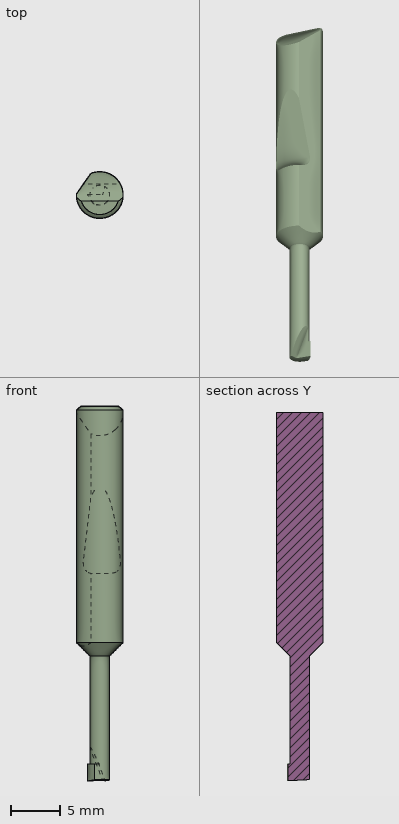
import cadquery as cq
import math

overall_length = 38.1
shank_diameter = 4.76
shank_radius = shank_diameter / 2
neck_radius = 1.0
neck_top_z = 12.7
cone_top_z = neck_top_z + shank_radius - neck_radius
end_chamfer = 0.4

bevel_end_y = -0.62

flat_direction = 145.0
flat_span = 65.0

notch_top_z = overall_length - 8.2
notch_bottom_z = overall_length - 17.0
notch_depth = 1.28
notch_corner_radius = 1.15

head_height = 1.75
cutting_edge_x = -1.26
heel_x = -0.53
flank_radius = 4.5
rake_y = 0.06
end_dish_angle = 3.0
end_relief_angle = 5.0

pocket_top_z = 3.4
pocket_wall_tilt = 21.0
pocket_wall_azimuth = 15.0

clear = 10.0


def make_body():
    """Shank, cone and neck as one revolved profile."""
    return (
        cq.Workplane("XZ")
        .moveTo(0, 0)
        .lineTo(neck_radius, 0)
        .lineTo(neck_radius, neck_top_z)
        .lineTo(shank_radius, cone_top_z)
        .lineTo(shank_radius, overall_length - end_chamfer)
        .lineTo(shank_radius - end_chamfer, overall_length)
        .lineTo(0, overall_length)
        .close()
        .revolve(360, (0, 0, 0), (0, 1, 0))
    )


def make_shank_flat():
    """Block outside the long flat, which faces -X and +Y."""
    flat_distance = shank_radius * math.cos(math.radians(flat_span / 2))
    return (
        cq.Workplane("XY")
        .box(clear, clear, overall_length, centered=(False, True, False))
        .translate((flat_distance, 0, 0))
        .rotate((0, 0, 0), (0, 0, 1), flat_direction)
    )


def make_end_bevel():
    """Triangular prism above the 45 degree bevel."""
    return (
        cq.Workplane("YZ")
        .moveTo(bevel_end_y, overall_length)
        .lineTo(bevel_end_y + clear, overall_length)
        .lineTo(bevel_end_y + clear, overall_length - clear)
        .close()
        .extrude(clear, both=True)
    )


def make_notch():
    """Clamping notch, cut straight across in X."""
    floor_y = shank_radius - notch_depth
    corner_y = floor_y + notch_corner_radius
    corner_z = notch_bottom_z + notch_corner_radius
    arc_offset = notch_corner_radius * math.sqrt(0.5)
    return (
        cq.Workplane("YZ")
        .moveTo(shank_radius, notch_top_z)
        .lineTo(floor_y, corner_z)
        .threePointArc((corner_y - arc_offset, corner_z - arc_offset), (corner_y, notch_bottom_z))
        .lineTo(clear, notch_bottom_z)
        .lineTo(clear, notch_top_z)
        .close()
        .extrude(clear, both=True)
    )


def make_head():
    """Cutting head, projecting beyond the neck on the -X side."""
    return (
        cq.Workplane("XY")
        .moveTo(0, rake_y)
        .lineTo(cutting_edge_x, rake_y)
        .radiusArc((heel_x, -neck_radius), -flank_radius)
        .lineTo(0, -neck_radius)
        .close()
        .extrude(head_height)
    )


def make_chip_pocket():
    """Space in front of the cutting edge, bounded by the rake plane and the sloped wall."""
    wall = (
        cq.Workplane("XY")
        .box(clear, 2 * clear, 2 * clear, centered=(False, True, True))
        .translate((-clear, 0, 0))
        .rotate((0, 0, 0), (0, 1, 0), -pocket_wall_tilt)
        .translate((-neck_radius, 0, pocket_top_z))
        .rotate((0, 0, 0), (0, 0, 1), -pocket_wall_azimuth)
    )
    above_rake = (
        cq.Workplane("XY")
        .box(clear, clear, neck_top_z, centered=(True, False, False))
        .translate((0, rake_y, 0))
    )
    return wall.intersect(above_rake)


def make_end_relief():
    """Block below the end face, which rises from the cutting corner towards +X and -Y."""
    return (
        cq.Workplane("XY")
        .box(2 * clear, 2 * clear, clear, centered=(True, True, False))
        .translate((0, 0, -clear))
        .rotate((0, 0, 0), (0, 1, 0), -end_dish_angle)
        .rotate((0, 0, 0), (1, 0, 0), -end_relief_angle)
        .translate((cutting_edge_x, rake_y, 0))
    )


result = (
    make_body()
    .union(make_head())
    .cut(make_shank_flat())
    .cut(make_end_bevel())
    .cut(make_notch())
    .cut(make_chip_pocket())
    .cut(make_end_relief())
)